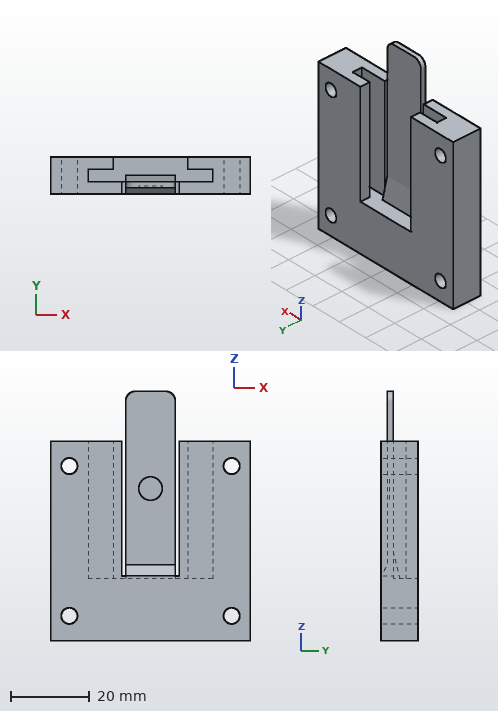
import cadquery as cq

plate_size = 50.8
plate_thickness = 9.5
total_height = 63.5

layer = plate_thickness / 3
neck_width = 19.05
cavity_width = 31.75
slot_floor = 15.9

window_width = 14.6
window_floor = 16.5

tongue_width = 12.7
tongue_thickness = layer / 2
tongue_front = layer - tongue_thickness
corner_radius = 2.55
front_ramp_run = tongue_front
front_ramp_rise = 2.8
back_ramp_run = 1.65
back_ramp_rise = 4 * back_ramp_run

recess_diameter = 6.0
recess_depth = 0.5
recess_height = 38.75

hole_diameter = 4.05
hole_spacing_x = 41.3
hole_heights = (6.35, 44.45)


def centered_block(width, y_start, y_end, z_start, z_end):
    """Block centred on X, spanning the given Y and Z ranges."""
    size = (width, y_end - y_start, z_end - z_start)
    return cq.Workplane("XY").box(*size, centered=(True, False, False)).translate((0, y_start, z_start))


def cylinder_into_plate(x, y, z, diameter, depth):
    """Cylinder running toward +Y from the given point."""
    axis = cq.Vector(0, 1, 0)
    return cq.Workplane(cq.Solid.makeCylinder(diameter / 2, depth, cq.Vector(x, y, z), axis))


def make_plate():
    plate = centered_block(plate_size, 0, plate_thickness, 0, plate_size)
    plate = plate.cut(centered_block(window_width, 0, layer, window_floor, plate_size))
    plate = plate.cut(centered_block(cavity_width, layer, 2 * layer, slot_floor, plate_size))
    plate = plate.cut(centered_block(neck_width, 2 * layer, plate_thickness, slot_floor, plate_size))
    for x in (-hole_spacing_x / 2, hole_spacing_x / 2):
        for z in hole_heights:
            plate = plate.cut(cylinder_into_plate(x, 0, z, hole_diameter, plate_thickness))
    return plate


def make_tongue():
    tongue = centered_block(tongue_width, tongue_front, layer, window_floor, total_height)
    tongue = tongue.edges("|Y and >Z").fillet(corner_radius)
    foot = (
        cq.Workplane("YZ")
        .moveTo(tongue_front - front_ramp_run, window_floor)
        .lineTo(tongue_front, window_floor + front_ramp_rise)
        .lineTo(layer, window_floor + front_ramp_rise)
        .lineTo(layer, slot_floor + back_ramp_rise)
        .lineTo(layer + back_ramp_run, slot_floor)
        .lineTo(layer, slot_floor)
        .lineTo(layer, window_floor)
        .close()
        .extrude(tongue_width / 2, both=True)
    )
    recess = cylinder_into_plate(0, tongue_front, recess_height, recess_diameter, recess_depth)
    return tongue.union(foot).cut(recess)


result = make_plate().union(make_tongue())